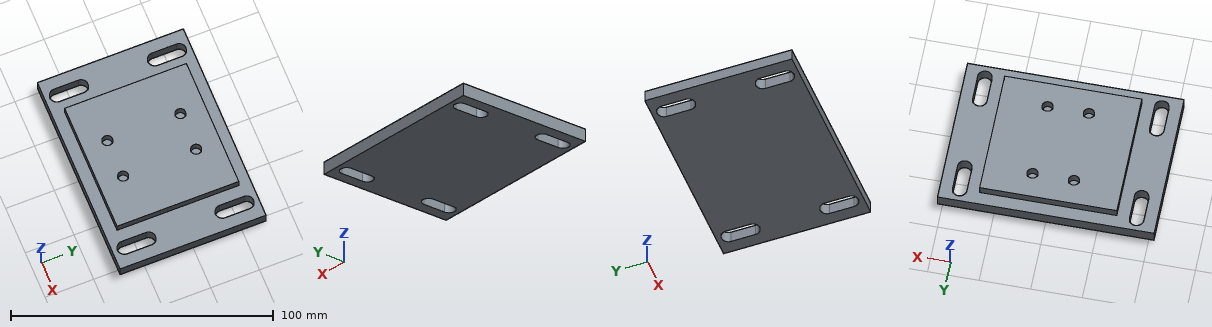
import cadquery as cq

plate_length = 84.0
plate_width = 60.0
total_height = 9.0

pad_length = 53.2
pad_width = 50.0
pad_height = 3.7
plate_thickness = total_height - pad_height

slot_width = 5.55
slot_length = 15.5
slot_spacing_x = 68.6
slot_spacing_y = 40.2

hole_diameter = 4.2
hole_spacing_x = 16.05
hole_spacing_y = 30.0
hole_depth = pad_height


def make_plate():
    return cq.Workplane("XY").box(plate_length, plate_width, plate_thickness, centered=(True, True, False))


def make_pad():
    return (
        cq.Workplane("XY")
        .workplane(offset=plate_thickness)
        .box(pad_length, pad_width, pad_height, centered=(True, True, False))
    )


def make_slots():
    return (
        cq.Workplane("XY")
        .rarray(slot_spacing_x, slot_spacing_y, 2, 2)
        .slot2D(slot_length, slot_width, angle=90)
        .extrude(plate_thickness)
    )


def make_holes():
    return (
        cq.Workplane("XY")
        .workplane(offset=total_height)
        .rarray(hole_spacing_x, hole_spacing_y, 2, 2)
        .circle(hole_diameter / 2)
        .extrude(-hole_depth)
    )


result = make_plate().union(make_pad()).cut(make_slots()).cut(make_holes())